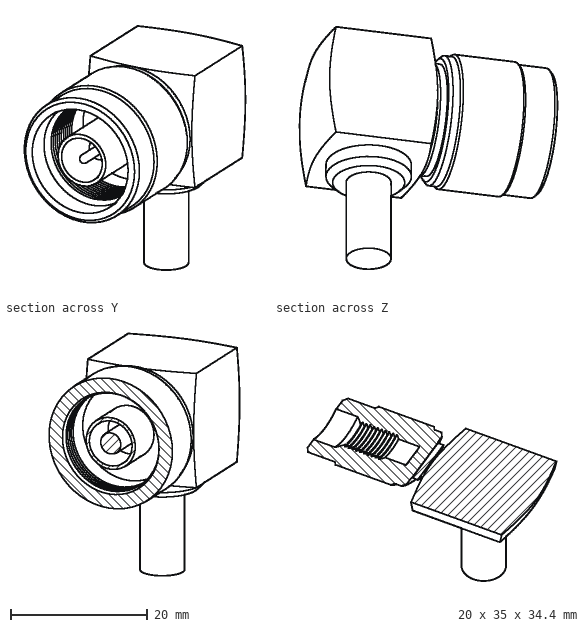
import cadquery as cq
import math


block_side = 17.52
block_cone_angle = math.radians(15)
block_face_radius = 6.65

collar_radius = 6.27
collar_height = 2.9
collar_chamfer = 0.98
cable_radius = 3.3
cable_length = 12.7

neck_radius = 8.3
neck_length = 1.0

nut_length = 16.5
nut_radius = 10.0
rim_radius = 9.65
end_chamfer = 0.53
step_length = 0.35
rear_rim_length = 1.65
front_rim_length = 4.98

nut_wall = rear_rim_length + step_length
entry_radius = 8.03
entry_depth = 3.58
crest_radius = 7.5
entry_cone_length = 1.2
thread_pitch = 0.63
thread_depth = 0.25
thread_count = 10

sleeve_radius = 4.0
sleeve_bore_radius = 3.4
sleeve_recess = 0.53
pin_radius = 0.65
pin_shank_radius = 1.65
pin_tip_length = 5.25

block_front = -block_side / 2
nut_rear = block_front - neck_length
nut_front = nut_rear - nut_length
nut_floor = nut_rear - nut_wall
sleeve_front = nut_front + sleeve_recess


def revolve_about_y(outline):
    """Turn a closed outline, drawn as (radius, y), about the connector axis."""
    return outline.close().revolve(360, (0, 0), (0, 1))


def cylinder_along_y(radius, y_start, y_end):
    """Solid cylinder on the connector axis from y_start toward -Y to y_end."""
    return cq.Workplane("XZ", origin=(0, y_start, 0)).circle(radius).extrude(y_start - y_end)


def make_block():
    """Cube whose front and rear corners are cut back by shallow cones."""
    half = block_side / 2
    outer_radius = block_side
    cone_drop = (outer_radius - block_face_radius) * math.tan(block_cone_angle)
    envelope = revolve_about_y(
        cq.Workplane("XY").polyline([
            (0, -half),
            (block_face_radius, -half),
            (outer_radius, -half + cone_drop),
            (outer_radius, half - cone_drop),
            (block_face_radius, half),
            (0, half),
        ])
    )
    return cq.Workplane("XY").box(block_side, block_side, block_side).intersect(envelope)


def make_cable_entry():
    """Chamfered collar under the block with the cable tube below it."""
    collar = (
        cq.Workplane("XY", origin=(0, 0, -block_side / 2))
        .circle(collar_radius)
        .extrude(-collar_height)
        .faces("<Z")
        .chamfer(collar_chamfer)
    )
    return collar.faces("<Z").workplane().circle(cable_radius).extrude(cable_length)


def make_elbow():
    """Block, cable entry, neck and contact sleeve, with a blind hole for the pin."""
    neck = cylinder_along_y(neck_radius, block_front, nut_rear)
    sleeve = cylinder_along_y(sleeve_radius, nut_rear, sleeve_front)
    sleeve_bore = cylinder_along_y(sleeve_bore_radius, nut_floor, sleeve_front)
    pin_hole = cylinder_along_y(pin_shank_radius, 0, nut_floor)
    return (
        make_block()
        .union(make_cable_entry())
        .union(neck)
        .union(sleeve)
        .cut(sleeve_bore)
        .cut(pin_hole)
    )


def make_nut():
    """Coupling nut: stepped outside, threaded inside, rear wall fitting round the sleeve."""
    rear_step = nut_rear - rear_rim_length
    front_step = nut_front + front_rim_length
    chamfered_radius = rim_radius - end_chamfer
    outside = [
        (sleeve_radius, nut_rear),
        (chamfered_radius, nut_rear),
        (rim_radius, nut_rear - end_chamfer),
        (rim_radius, rear_step),
        (nut_radius, rear_step - step_length),
        (nut_radius, front_step + step_length),
        (rim_radius, front_step),
        (rim_radius, nut_front + end_chamfer),
        (chamfered_radius, nut_front),
    ]
    entry_end = nut_front + entry_depth
    thread_start = entry_end + entry_cone_length
    inside = [
        (entry_radius, nut_front),
        (entry_radius, entry_end),
        (crest_radius, thread_start),
    ]
    for turn in range(thread_count):
        turn_start = thread_start + turn * thread_pitch
        inside.append((crest_radius + thread_depth, turn_start))
        inside.append((crest_radius, turn_start + thread_pitch))
    inside += [(crest_radius, nut_floor), (sleeve_radius, nut_floor)]
    return revolve_about_y(cq.Workplane("XY").polyline(outside + inside))


def make_pin():
    """Centre pin: wide shank seated in the elbow and a thin tip with a round end."""
    shoulder = sleeve_front + pin_tip_length
    shank = cylinder_along_y(pin_shank_radius, 0, shoulder)
    dome_center = sleeve_front + pin_radius
    tip = cylinder_along_y(pin_radius, shoulder, dome_center)
    dome = cq.Workplane("XY", origin=(0, dome_center, 0)).sphere(pin_radius)
    return shank.union(tip).union(dome)


elbow = make_elbow()
nut = make_nut()
pin = make_pin()

result = cq.Compound.makeCompound([elbow.val(), nut.val(), pin.val()])